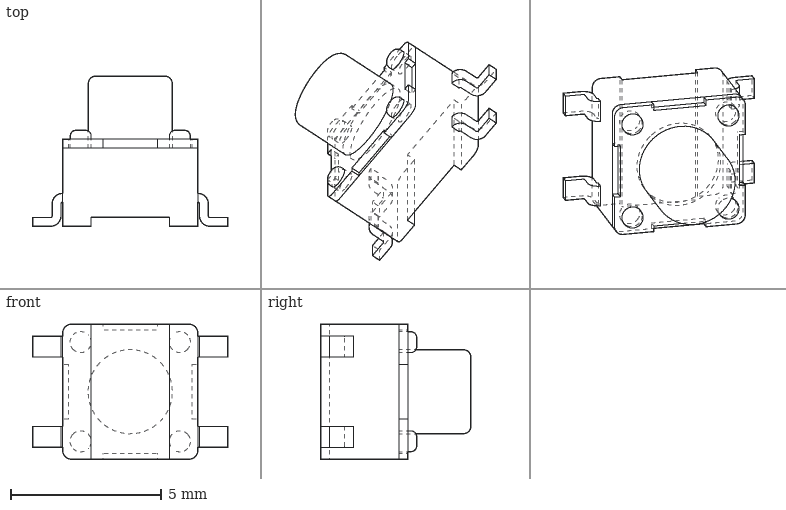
import cadquery as cq


body_size = 4.5
corner_radius = 0.3
housing_height = 2.6
cover_thickness = 0.3
cover_top = housing_height + cover_thickness
channel_width = 2.6
channel_depth = 0.3
notch_width = 1.8
notch_depth = 0.2

rivet_diameter = 0.7
rivet_height = 0.3
rivet_round = 0.2
rivet_spacing = 3.3

button_diameter = 2.8
button_top = 5.0
button_round = 0.25

lead_span = 6.5
lead_width = 0.7
lead_thickness = 0.3
lead_top = 1.1
lead_spacing = 3.0
inner_bend = 0.05
outer_bend = inner_bend + lead_thickness


def plane_at(y):
    """Plane facing +Y at height y, with local x along X and local y along -Z."""
    return cq.Workplane("XZ", origin=(0, y, 0)).transformed(rotate=(180, 0, 0))


def rounded_block(bottom, thickness):
    """Square block with rounded corners, rising along +Y from the given height."""
    block = plane_at(bottom).rect(body_size, body_size).extrude(thickness)
    return block.edges("|Y").fillet(corner_radius)


def rivet_shanks(bottom, length):
    """Four upright cylinders at the rivet positions."""
    layout = plane_at(bottom).rect(rivet_spacing, rivet_spacing, forConstruction=True)
    return layout.vertices().circle(rivet_diameter / 2).extrude(length)


def make_housing():
    """Base block with a channel across its seating face and four rivets on its top."""
    block = rounded_block(0, housing_height)
    channel = plane_at(0).rect(channel_width, body_size).extrude(channel_depth)
    rivets = rivet_shanks(housing_height, cover_thickness + rivet_height)
    rivets = rivets.faces(">Y").edges().fillet(rivet_round)
    return block.cut(channel).union(rivets)


def make_cover():
    """Plate on the housing with a notch in each side and holes for button and rivets."""
    plate = rounded_block(housing_height, cover_thickness)
    notch = (
        plane_at(housing_height)
        .center(body_size / 2, 0)
        .rect(2 * notch_depth, notch_width)
        .extrude(cover_thickness)
    )
    for side in range(4):
        plate = plate.cut(notch.rotate((0, 0, 0), (0, 1, 0), 90 * side))
    button_hole = plane_at(housing_height).circle(button_diameter / 2).extrude(cover_thickness)
    return plate.cut(button_hole).cut(rivet_shanks(housing_height, cover_thickness))


def make_button():
    """Round button that stands on the housing and passes through the cover."""
    button = plane_at(housing_height).circle(button_diameter / 2).extrude(button_top - housing_height)
    return button.faces(">Y").edges().fillet(button_round)


def make_lead():
    """S-bent strip on the +X wall, centred on Z = 0, with its foot on the seating plane."""
    wall = body_size / 2
    tip = lead_span / 2
    leg_inner = wall + inner_bend
    leg_outer = wall + outer_bend
    foot_start = leg_inner + outer_bend
    upper_bend_y = lead_top - outer_bend
    return (
        cq.Workplane("XY", origin=(0, 0, -lead_width / 2))
        .moveTo(wall, lead_top)
        .radiusArc((leg_outer, upper_bend_y), outer_bend)
        .lineTo(leg_outer, outer_bend)
        .radiusArc((foot_start, lead_thickness), -inner_bend)
        .lineTo(tip, lead_thickness)
        .lineTo(tip, 0)
        .lineTo(foot_start, 0)
        .radiusArc((leg_inner, outer_bend), outer_bend)
        .lineTo(leg_inner, upper_bend_y)
        .radiusArc((wall, lead_top - lead_thickness), -inner_bend)
        .close()
        .extrude(lead_width)
    )


housing = make_housing()
cover = make_cover()
button = make_button()

right_lead = make_lead()
left_lead = right_lead.mirror("YZ")
leads = []
for lead in (right_lead, left_lead):
    for lead_z in (-lead_spacing / 2, lead_spacing / 2):
        leads.append(lead.translate((0, 0, lead_z)).val())

result = cq.Compound.makeCompound([housing.val(), cover.val(), button.val(), *leads])